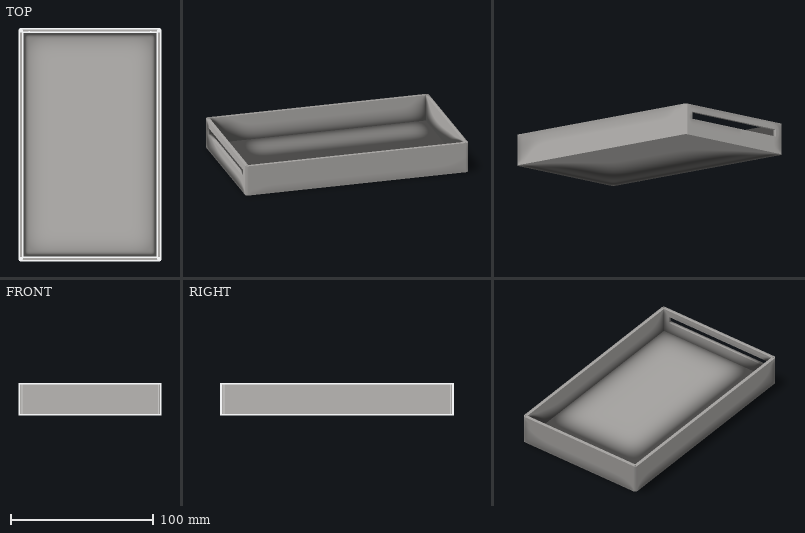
import cadquery as cq

width = 99.7
length = 163.2
height = 22.0
wall = 2.5
floor_thickness = 3.0
corner_radius = 2.0

slot_end_margin = 7.0
slot_height = 5.0
slot_top_margin = 5.0
slot_width = width - 2 * slot_end_margin

pin_hole_diameter = 1.0
pin_hole_inset = 1.5


def make_tray():
    """Open box with rounded vertical outer corners and a sharp-cornered cavity."""
    body = cq.Workplane("XY").box(width, length, height, centered=(True, True, False))
    body = body.edges("|Z").fillet(corner_radius)
    cavity = (
        cq.Workplane("XY")
        .workplane(offset=floor_thickness)
        .rect(width - 2 * wall, length - 2 * wall)
        .extrude(height - floor_thickness)
    )
    return body.cut(cavity)


def make_slot():
    """Long rectangular cutter spanning the thickness of the +Y wall."""
    slot_bottom = height - slot_top_margin - slot_height
    return (
        cq.Workplane("XY")
        .box(slot_width, 2 * wall, slot_height, centered=(True, True, False))
        .translate((0, length / 2 - wall / 2, slot_bottom))
    )


def make_pin_holes():
    """Four vertical cylinders, one in each corner of the wall."""
    return (
        cq.Workplane("XY")
        .rect(width - 2 * pin_hole_inset, length - 2 * pin_hole_inset, forConstruction=True)
        .vertices()
        .circle(pin_hole_diameter / 2)
        .extrude(height)
    )


result = make_tray().cut(make_slot()).cut(make_pin_holes())